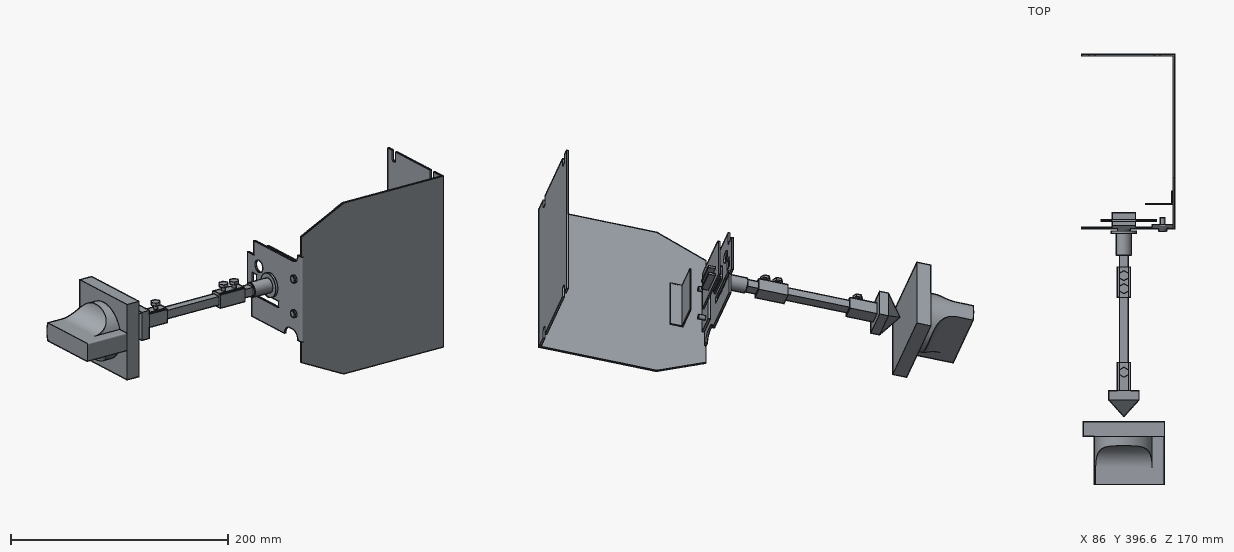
import cadquery as cq
import math


SHEET = 1.8
BEND_RADIUS = 2.0
BRACKET_LEFT = -39.0
BRACKET_WIDTH = 86.0
BRACKET_RIGHT = BRACKET_LEFT + BRACKET_WIDTH
BRACKET_DEPTH = 161.0
BRACKET_HEIGHT = 170.0
WALL_CHAMFER_Y = 47.5
WALL_CHAMFER_Z = 22.5

MOUNT_SLOT_WIDTH = 5.5
MOUNT_SLOT_DEPTH = 10.8
MOUNT_SLOT_OFFSET = 9.5
MOUNT_SLOT_SPACING = 60.0

FLANGE_HALF_HEIGHT = 33.8
WING_HALF_HEIGHT = 42.3
FLANGE_ARC = WING_HALF_HEIGHT - FLANGE_HALF_HEIGHT
WING_LEFT = 40.7
TAB_LEFT = -32.0
UPPER_LEFT = -29.0
TAB_RIGHT = 19.5
STRIP_HALF_HEIGHT = 19.5

ROUND_WINDOW_DIAMETER = 12.0
ROUND_WINDOW_X, ROUND_WINDOW_Z = -20.8, 11.0
RECT_WINDOW_WIDTH, RECT_WINDOW_HEIGHT = 7.0, 11.0
RECT_WINDOW_X, RECT_WINDOW_Z = -28.0, -4.0
LONG_SLOT_LEFT, LONG_SLOT_RIGHT = -30.0, 10.0
LONG_SLOT_BOTTOM, LONG_SLOT_TOP = -20.0, -13.5

BACKING_LEFT = 26.0
BACKING_THICKNESS = 2.2
BACKING_HALF_HEIGHT = 26.0

SCREW_X = 35.7
SCREW_HALF_SPACING = 17.2
SCREW_HEAD_DIAMETER = 7.6
SCREW_HEAD_LENGTH = 2.5
SCREW_HEAD_CHAMFER = 0.8
SCREW_DIAMETER = 4.5
SCREW_TIP_Y = 10.5

ANGLE_LEFT = 20.0
ANGLE_FRONT = 22.4
ANGLE_DEPTH = 12.5
ANGLE_SHEET = 1.2
ANGLE_HALF_HEIGHT = 25.0

NECK_DIAMETER = 12.0
HUB_WIDTH, HUB_HEIGHT, HUB_THICKNESS = 21.5, 16.0, 1.5
FORK_WIDTH = HUB_WIDTH
FORK_INNER_Z, FORK_OUTER_Z = 3.0, 5.4
FORK_END_Y = 15.0

SWITCH_PLATE_LEFT, SWITCH_PLATE_RIGHT = -21.0, 30.0
SWITCH_PLATE_BOTTOM, SWITCH_PLATE_TOP = -12.0, 31.0
SWITCH_PLATE_FRONT = 7.0
SWITCH_PLATE_THICKNESS = 1.5
SWITCH_PLATE_CORNER = 5.0

WASHER_DIAMETER = 23.5
WASHER_FRONT_Y, WASHER_THICKNESS = -4.2, 2.4
SLEEVE_DIAMETER = 14.3
SLEEVE_END_Y = -24.4
SLEEVE_CHAMFER = 0.5

ROD_SIZE = 8.4
COUPLING_WIDTH = 12.4
COUPLING_BOTTOM, COUPLING_SHOULDER, COUPLING_TOP = -7.0, 6.2, 7.2
COUPLING_RIDGE_WIDTH = ROD_SIZE
REAR_COUPLING_START, REAR_COUPLING_LENGTH = -35.0, 28.0
FRONT_COUPLING_START, FRONT_COUPLING_LENGTH = -123.0, 26.0
REAR_SCREW_POSITIONS = (-43.0, -55.0)
FRONT_SCREW_POSITIONS = (-132.0,)
CLAMP_NECK_DIAMETER, CLAMP_NECK_TOP = 4.2, 11.2
CLAMP_HEAD_FLATS, CLAMP_HEAD_HEIGHT = 8.0, 3.0

TIP_SIZE = 28.0
TIP_BLOCK_LENGTH = 8.5
TIP_POINT_LENGTH = 15.5

OVERALL_LENGTH = 396.6
HANDLE_FRONT = BRACKET_DEPTH - OVERALL_LENGTH
KNOB_HEIGHT = 44.5
PLATE_SIZE = 75.0
PLATE_THICKNESS = 13.5
PLATE_FRONT = HANDLE_FRONT + KNOB_HEIGHT
KNOB_DIAMETER = 55.0
BLADE_WIDTH = 18.0
BLADE_RIGHT = 37.2
BLADE_FILLET = 1.5
SCOOP_RADIUS = 20.0
SCOOP_DEPTH = 28.5


def box(x0, x1, y0, y1, z0, z1):
    """Box between two opposite corners."""
    return cq.Workplane("XY").box(x1 - x0, y1 - y0, z1 - z0, centered=False).translate((x0, y0, z0))


def rod_along_y(diameter, y0, y1, x=0.0, z=0.0):
    """Round bar along Y from y0 to the larger y1."""
    profile = cq.Workplane("XZ", origin=(x, y0, z)).circle(diameter / 2)
    return profile.extrude(y0 - y1)


def centred_box(width, height, y0, y1):
    """Box centred on the shaft axis."""
    return box(-width / 2, width / 2, y0, y1, -height / 2, height / 2)


def rear_plate():
    half = BRACKET_HEIGHT / 2
    plate = box(BRACKET_LEFT, BRACKET_RIGHT, BRACKET_DEPTH - SHEET, BRACKET_DEPTH, -half, half)
    slot_length = 2 * MOUNT_SLOT_DEPTH
    first_x = BRACKET_LEFT + MOUNT_SLOT_OFFSET
    slots = (
        cq.Workplane("XZ", origin=(0, BRACKET_DEPTH, 0))
        .pushPoints([(x, z) for x in (first_x, first_x + MOUNT_SLOT_SPACING) for z in (-half, half)])
        .slot2D(slot_length, MOUNT_SLOT_WIDTH, 90)
        .extrude(SHEET)
    )
    return plate.cut(slots)


def side_wall():
    half = BRACKET_HEIGHT / 2
    front_half = half - WALL_CHAMFER_Z
    return (
        cq.Workplane("YZ", origin=(BRACKET_RIGHT - SHEET, 0, 0))
        .polyline([
            (0, -front_half), (WALL_CHAMFER_Y, -half), (BRACKET_DEPTH, -half),
            (BRACKET_DEPTH, half), (WALL_CHAMFER_Y, half), (0, front_half),
        ])
        .close()
        .extrude(SHEET)
    )


def front_flange():
    arc_mid = FLANGE_ARC * math.sqrt(0.5)
    arc_centre_x = WING_LEFT - FLANGE_ARC
    tab_centre_x = TAB_RIGHT + FLANGE_ARC
    flange = (
        cq.Workplane("XZ", origin=(0, SHEET, 0))
        .moveTo(BRACKET_LEFT, -STRIP_HALF_HEIGHT)
        .lineTo(TAB_LEFT, -STRIP_HALF_HEIGHT)
        .lineTo(TAB_LEFT, -WING_HALF_HEIGHT)
        .lineTo(TAB_RIGHT, -WING_HALF_HEIGHT)
        .threePointArc((tab_centre_x - arc_mid, -WING_HALF_HEIGHT + arc_mid),
                       (tab_centre_x, -FLANGE_HALF_HEIGHT))
        .lineTo(arc_centre_x, -FLANGE_HALF_HEIGHT)
        .threePointArc((arc_centre_x + arc_mid, -WING_HALF_HEIGHT + arc_mid),
                       (WING_LEFT, -WING_HALF_HEIGHT))
        .lineTo(BRACKET_RIGHT, -WING_HALF_HEIGHT)
        .lineTo(BRACKET_RIGHT, WING_HALF_HEIGHT)
        .lineTo(WING_LEFT, WING_HALF_HEIGHT)
        .threePointArc((arc_centre_x + arc_mid, WING_HALF_HEIGHT - arc_mid),
                       (arc_centre_x, FLANGE_HALF_HEIGHT))
        .lineTo(UPPER_LEFT, FLANGE_HALF_HEIGHT)
        .lineTo(UPPER_LEFT, STRIP_HALF_HEIGHT)
        .lineTo(BRACKET_LEFT, STRIP_HALF_HEIGHT)
        .close()
        .extrude(SHEET)
    )
    round_window = rod_along_y(ROUND_WINDOW_DIAMETER, 0, SHEET, ROUND_WINDOW_X, ROUND_WINDOW_Z)
    rect_window = centred_box(RECT_WINDOW_WIDTH, RECT_WINDOW_HEIGHT, 0, SHEET)
    rect_window = rect_window.translate((RECT_WINDOW_X, 0, RECT_WINDOW_Z))
    long_slot = box(LONG_SLOT_LEFT, LONG_SLOT_RIGHT, 0, SHEET, LONG_SLOT_BOTTOM, LONG_SLOT_TOP)
    shaft_hole = rod_along_y(NECK_DIAMETER, 0, SHEET)
    return flange.cut(round_window).cut(rect_window).cut(long_slot).cut(shaft_hole)


def bend_corner():
    """Waste outside the rounded bend between flange and wall."""
    height = 2 * WING_HALF_HEIGHT
    square = box(BRACKET_RIGHT - BEND_RADIUS, BRACKET_RIGHT, 0, BEND_RADIUS,
                 -WING_HALF_HEIGHT, WING_HALF_HEIGHT)
    bend = (
        cq.Workplane("XY", origin=(BRACKET_RIGHT - BEND_RADIUS, BEND_RADIUS, -WING_HALF_HEIGHT))
        .circle(BEND_RADIUS)
        .extrude(height)
    )
    return square.cut(bend)


def flange_screw(z):
    head = rod_along_y(SCREW_HEAD_DIAMETER, -SCREW_HEAD_LENGTH, 0, SCREW_X, z)
    head = head.faces("<Y").chamfer(SCREW_HEAD_CHAMFER)
    stem = rod_along_y(SCREW_DIAMETER, 0, SCREW_TIP_Y, SCREW_X, z)
    return head.union(stem)


def wall_angle():
    """L-shaped angle on the inner side of the wall."""
    inner_face = BRACKET_RIGHT - SHEET
    half = ANGLE_HALF_HEIGHT
    shelf = box(ANGLE_LEFT, inner_face, ANGLE_FRONT, ANGLE_FRONT + ANGLE_SHEET, -half, half)
    leg = box(inner_face - ANGLE_SHEET, inner_face, ANGLE_FRONT, ANGLE_FRONT + ANGLE_DEPTH, -half, half)
    return shelf.union(leg)


def make_bracket():
    backing = box(BACKING_LEFT, BRACKET_RIGHT - SHEET, SHEET, SHEET + BACKING_THICKNESS,
                  -BACKING_HALF_HEIGHT, BACKING_HALF_HEIGHT)
    bracket = rear_plate().union(side_wall()).union(front_flange()).union(backing).union(wall_angle())
    bracket = bracket.cut(bend_corner())
    for z in (-SCREW_HALF_SPACING, SCREW_HALF_SPACING):
        bracket = bracket.union(flange_screw(z))
    return bracket


def switch_coupler():
    """Hub and fork behind the flange, with the switch plate across the fork."""
    hub_end = SHEET + HUB_THICKNESS
    coupler = centred_box(HUB_WIDTH, HUB_HEIGHT, SHEET, hub_end)
    half = FORK_WIDTH / 2
    for z0, z1 in ((FORK_INNER_Z, FORK_OUTER_Z), (-FORK_OUTER_Z, -FORK_INNER_Z)):
        coupler = coupler.union(box(-half, half, hub_end, FORK_END_Y, z0, z1))
    plate = box(SWITCH_PLATE_LEFT, SWITCH_PLATE_RIGHT,
                SWITCH_PLATE_FRONT, SWITCH_PLATE_FRONT + SWITCH_PLATE_THICKNESS,
                SWITCH_PLATE_BOTTOM, SWITCH_PLATE_TOP)
    plate = plate.edges("|Y and >Z").fillet(SWITCH_PLATE_CORNER)
    return coupler.union(plate)


def collar():
    """Neck through the flange, washer and sleeve."""
    washer_back = WASHER_FRONT_Y + WASHER_THICKNESS
    neck = rod_along_y(NECK_DIAMETER, washer_back, SHEET)
    washer = rod_along_y(WASHER_DIAMETER, WASHER_FRONT_Y, washer_back)
    sleeve = rod_along_y(SLEEVE_DIAMETER, SLEEVE_END_Y, WASHER_FRONT_Y)
    sleeve = sleeve.faces("<Y").chamfer(SLEEVE_CHAMFER)
    return neck.union(washer).union(sleeve)


def clamp_screw(y):
    """Hexagon screw standing on a coupling, two corners pointing along Y."""
    neck = (
        cq.Workplane("XY", origin=(0, y, COUPLING_TOP))
        .circle(CLAMP_NECK_DIAMETER / 2)
        .extrude(CLAMP_NECK_TOP - COUPLING_TOP)
    )
    across_corners = CLAMP_HEAD_FLATS / math.cos(math.pi / 6)
    head = cq.Workplane("XY").polygon(6, across_corners).extrude(CLAMP_HEAD_HEIGHT)
    head = head.rotate((0, 0, 0), (0, 0, 1), 90).translate((0, y, CLAMP_NECK_TOP))
    return neck.union(head)


def coupling(start, length, screw_positions):
    end = start - length
    half = COUPLING_WIDTH / 2
    ridge_half = COUPLING_RIDGE_WIDTH / 2
    body = box(-half, half, end, start, COUPLING_BOTTOM, COUPLING_SHOULDER)
    ridge = box(-ridge_half, ridge_half, end, start, COUPLING_SHOULDER, COUPLING_TOP)
    body = body.union(ridge)
    for y in screw_positions:
        body = body.union(clamp_screw(y))
    return body


def tip(start):
    """Square block ending in a four-sided point."""
    block_end = start - TIP_BLOCK_LENGTH
    half = TIP_SIZE / 2
    block = centred_box(TIP_SIZE, TIP_SIZE, block_end, start)
    wedge_outline = [(block_end, -half), (block_end - TIP_POINT_LENGTH, 0), (block_end, half)]
    upright_wedge = cq.Workplane("YZ").polyline(wedge_outline).close().extrude(half, both=True)
    flat_wedge = upright_wedge.rotate((0, 0, 0), (0, 1, 0), 90)
    return block.union(upright_wedge.intersect(flat_wedge))


def make_shaft():
    tip_start = FRONT_COUPLING_START - FRONT_COUPLING_LENGTH
    rod = centred_box(ROD_SIZE, ROD_SIZE, tip_start, SLEEVE_END_Y)
    return (
        switch_coupler()
        .union(collar())
        .union(rod)
        .union(coupling(REAR_COUPLING_START, REAR_COUPLING_LENGTH, REAR_SCREW_POSITIONS))
        .union(coupling(FRONT_COUPLING_START, FRONT_COUPLING_LENGTH, FRONT_SCREW_POSITIONS))
        .union(tip(tip_start))
    )


def make_handle():
    plate = centred_box(PLATE_SIZE, PLATE_SIZE, PLATE_FRONT, PLATE_FRONT + PLATE_THICKNESS)
    knob = rod_along_y(KNOB_DIAMETER, HANDLE_FRONT, PLATE_FRONT)

    scoop_y = PLATE_FRONT - SCOOP_DEPTH
    scoop_z = BLADE_WIDTH / 2 + SCOOP_RADIUS
    radius = KNOB_DIAMETER / 2
    for side in (-1, 1):
        roller = (
            cq.Workplane("YZ", origin=(-radius, 0, 0))
            .center(scoop_y, side * scoop_z)
            .circle(SCOOP_RADIUS)
            .extrude(KNOB_DIAMETER)
        )
        outer = box(-radius, radius, HANDLE_FRONT, scoop_y, BLADE_WIDTH / 2, scoop_z)
        if side < 0:
            outer = outer.mirror("XY")
        knob = knob.cut(roller).cut(outer)

    blade = box(0, BLADE_RIGHT, HANDLE_FRONT, PLATE_FRONT, -BLADE_WIDTH / 2, BLADE_WIDTH / 2)
    blade = blade.edges("|Y and >X").fillet(BLADE_FILLET)
    return plate.union(knob).union(blade)


bracket = make_bracket()
shaft = make_shaft()
handle = make_handle()

result = cq.Compound.makeCompound([bracket.solids().val(), shaft.solids().val(), handle.solids().val()])